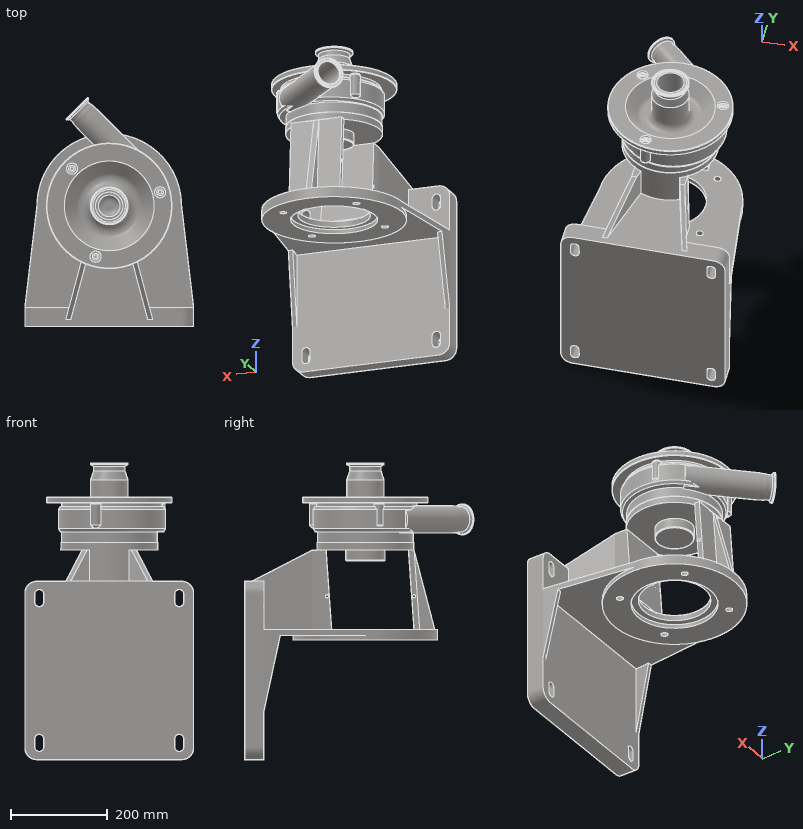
import cadquery as cq
import math


WALL_WIDTH = 350.0
WALL_HEIGHT = 370.0
WALL_THICKNESS = 40.0
WALL_BACK_Y = -250.0
WALL_FRONT_Y = WALL_BACK_Y + WALL_THICKNESS
WALL_CORNER_RADIUS = 25.0
SLOT_WIDTH = 18.0
SLOT_LENGTH = 35.0
SLOT_SPACING_X = 290.0
SLOT_SPACING_Z = 300.0

SHELF_TOP_Z = 270.0
SHELF_THICKNESS = 13.0
SHELF_BOTTOM_Z = SHELF_TOP_Z - SHELF_THICKNESS
MOTOR_FLANGE_RADIUS = 150.0
MOTOR_FLANGE_THICKNESS = 22.0
MOTOR_BORE_RADIUS = 75.0
MOTOR_SPIGOT_RADIUS = 90.0
MOTOR_BOLT_CIRCLE_RADIUS = 115.0
MOTOR_BOLT_DIAMETER = 14.0
MOTOR_BOLT_COUNT = 4
FIRST_MOTOR_BOLT_ANGLE = 45.0

LOWER_RIB_THICKNESS = 10.0
LOWER_RIB_TOP_Y = -176.0
LOWER_RIB_BOTTOM_Z = 100.0

RING_RADIUS = 100.5
RING_BOTTOM_Z = 434.5
RING_THICKNESS = 15.5
RING_TOP_Z = RING_BOTTOM_Z + RING_THICKNESS
LEG_HALF_WIDTH = 56.5
LEG_DRAFT_SHIFT = 11.5
FRONT_LEG_INNER_TOP_Y = -81.0
BACK_LEG_INNER_TOP_Y = 89.0
BACK_LEG_THICKNESS = 12.0
BACK_RIB_THICKNESS = 12.0
BACK_RIB_FOOT_Y = 144.0
GUSSET_THICKNESS = 10.0
GUSSET_ANGLE = 15.0
GUSSET_START_Y = -110.0
GUSSET_END_Y = -235.0
PIN_HOLE_DIAMETER = 6.0
PIN_HOLE_Z = 339.0
PIN_HOLE_INSET = 5.0

SHAFT_BOSS_RADIUS = 41.0
SHAFT_BOSS_BOTTOM_Z = 412.0
SHAFT_BOSS_CHAMFER = 1.5
BACKPLATE_RADIUS = 99.5
VOLUTE_RADIUS = 111.2
VOLUTE_SHIFT_X = 5.7
VOLUTE_SHIFT_Y = 3.0
VOLUTE_BOTTOM_Z = 472.3
VOLUTE_TOP_Z = 525.0
VOLUTE_EDGE_HEIGHT = 6.5
VOLUTE_EDGE_WIDTH = 4.0
LID_NECK_RADIUS = 104.5

LID_RADIUS = 130.0
LID_TOP_Z = 544.0
LID_THICKNESS = 12.0
LID_BOTTOM_Z = LID_TOP_Z - LID_THICKNESS
LID_CHAMFER = 1.0
RECESS_RIM_RADIUS = 93.0
RECESS_RIM_CHAMFER = 3.0
RECESS_FLOOR_Z = 516.5
RECESS_CONE_BOTTOM_RADIUS = 68.0
RECESS_CORNER_FILLET = 15.0
RECESS_CONE_SLOPE = math.radians(42.5)
SCREW_COUNT = 3
SCREW_CIRCLE_RADIUS = 109.0
FIRST_SCREW_ANGLE = 15.0
LUG_RADIUS = 10.7
LUG_NECK_RADIUS = 9.5
LUG_TOP_Z = 529.5
LUG_BOTTOM_Z = 480.0
LUG_CHAMFER = 6.0
SCREW_HEAD_RADIUS = 7.0
SCREW_RECESS_RADIUS = 11.5
SCREW_RECESS_DEPTH = 6.0
SOCKET_DIAMETER = 8.0
SOCKET_DEPTH = 4.0

INLET_TOP_Z = 614.5
INLET_RADIUS = 39.0
INLET_ROOT_FILLET = 17.0
INLET_CONE_BOTTOM_Z = 580.0
INLET_CONE_TOP_Z = 597.8
INLET_NECK_RADIUS = 32.8
INLET_FERRULE_RADIUS = 39.0
INLET_BORE_RADIUS = 28.5
INLET_BORE_BOTTOM_Z = 510.0
IMPELLER_EYE_RADIUS = 22.5
IMPELLER_EYE_FILLET = 12.5
IMPELLER_EYE_BOTTOM_Z = 485.0
INLET_GROOVE_RADIUS = 35.3

OUTLET_Z = 498.0
OUTLET_OFFSET = 95.3
OUTLET_LENGTH = 190.6
OUTLET_PIPE_RADIUS = 28.6
OUTLET_PIPE_END = 155.5
OUTLET_COLLAR_START = 166.5
OUTLET_COLLAR_MIDDLE = 171.5
OUTLET_COLLAR_END = 177.0
OUTLET_COLLAR_RADIUS = 27.8
OUTLET_NECK_RADIUS = 26.5
OUTLET_FERRULE_RADIUS = 32.0
OUTLET_BORE_RADIUS = 24.5
OUTLET_BORE_START = 40.0
OUTLET_GROOVE_RADIUS = 28.2

FERRULE_EDGE = 3.0
FERRULE_TAPER = 3.5
GASKET_GROOVE_WIDTH = 3.2
GASKET_GROOVE_DEPTH = 1.5


def cylinder(radius, bottom, top, x=0.0):
    return cq.Workplane("XY", origin=(x, 0, bottom)).circle(radius).extrude(top - bottom)


def side_prism(points, x_min, x_max):
    """Extrude a (Y, Z) outline along X."""
    return cq.Workplane("YZ", origin=(x_min, 0, 0)).polyline(points).close().extrude(x_max - x_min)


def wall_plate():
    plate = (
        cq.Workplane("XY")
        .box(WALL_WIDTH, WALL_THICKNESS, WALL_HEIGHT, centered=(True, False, False))
        .edges("|Y")
        .fillet(WALL_CORNER_RADIUS)
    )
    slots = (
        cq.Workplane("XZ", origin=(0, WALL_THICKNESS, WALL_HEIGHT / 2))
        .rarray(SLOT_SPACING_X, SLOT_SPACING_Z, 2, 2)
        .slot2D(SLOT_LENGTH, SLOT_WIDTH, 90)
        .extrude(WALL_THICKNESS)
    )
    return plate.cut(slots).translate((0, WALL_BACK_Y, 0))


def shelf_outline(inset=0.0):
    """Taper between the motor flange and the wall plate, as (X, Y) points."""
    wide = WALL_WIDTH / 2 - inset
    narrow = MOTOR_FLANGE_RADIUS - inset
    return [(narrow, 0), (-narrow, 0), (-wide, WALL_FRONT_Y), (wide, WALL_FRONT_Y)]


def shelf():
    taper = (
        cq.Workplane("XY", origin=(0, 0, SHELF_BOTTOM_Z))
        .polyline(shelf_outline())
        .close()
        .extrude(SHELF_THICKNESS)
    )
    flange = cylinder(MOTOR_FLANGE_RADIUS, SHELF_TOP_Z - MOTOR_FLANGE_THICKNESS, SHELF_TOP_Z)
    return taper.union(flange)


def lower_ribs():
    """Triangular ribs under the shelf, flush with its tapered sides."""
    half_wall = WALL_WIDTH / 2
    triangles = side_prism(
        [
            (LOWER_RIB_TOP_Y, SHELF_BOTTOM_Z),
            (WALL_FRONT_Y, SHELF_BOTTOM_Z),
            (WALL_FRONT_Y, LOWER_RIB_BOTTOM_Z),
        ],
        -half_wall,
        half_wall,
    )
    outer = cq.Workplane("XY").polyline(shelf_outline()).close().extrude(SHELF_BOTTOM_Z)
    inner = cq.Workplane("XY").polyline(shelf_outline(LOWER_RIB_THICKNESS)).close().extrude(SHELF_BOTTOM_Z)
    return triangles.intersect(outer.cut(inner))


def motor_openings():
    bottom = SHELF_TOP_Z - MOTOR_FLANGE_THICKNESS
    bore = cylinder(MOTOR_BORE_RADIUS, bottom, SHELF_TOP_Z)
    spigot = cylinder(MOTOR_SPIGOT_RADIUS, bottom, SHELF_BOTTOM_Z)
    bolts = (
        cq.Workplane("XY", origin=(0, 0, bottom))
        .polarArray(MOTOR_BOLT_CIRCLE_RADIUS, FIRST_MOTOR_BOLT_ANGLE, 360, MOTOR_BOLT_COUNT)
        .circle(MOTOR_BOLT_DIAMETER / 2)
        .extrude(MOTOR_FLANGE_THICKNESS)
    )
    return bore.union(spigot).union(bolts)


def front_leg():
    """Leg on the wall side: flat sloping inner face, round outer face."""
    slab = side_prism(
        [
            (FRONT_LEG_INNER_TOP_Y, RING_BOTTOM_Z),
            (FRONT_LEG_INNER_TOP_Y + LEG_DRAFT_SHIFT, SHELF_TOP_Z),
            (-RING_RADIUS, SHELF_TOP_Z),
            (-RING_RADIUS, RING_BOTTOM_Z),
        ],
        -LEG_HALF_WIDTH,
        LEG_HALF_WIDTH,
    )
    return slab.intersect(cylinder(RING_RADIUS, SHELF_TOP_Z, RING_BOTTOM_Z))


def gusset_x(y):
    """X of the outer face of the right gusset at a given Y."""
    return LEG_HALF_WIDTH + (GUSSET_START_Y - y) * math.tan(math.radians(GUSSET_ANGLE))


def gussets():
    """Pair of splayed gussets from the front leg to the top of the wall plate."""
    thickness_in_x = GUSSET_THICKNESS / math.cos(math.radians(GUSSET_ANGLE))
    inner_y = FRONT_LEG_INNER_TOP_Y
    plan = [
        (LEG_HALF_WIDTH, inner_y),
        (LEG_HALF_WIDTH, GUSSET_START_Y),
        (gusset_x(GUSSET_END_Y), GUSSET_END_Y),
        (gusset_x(GUSSET_END_Y) - thickness_in_x, GUSSET_END_Y),
        (gusset_x(inner_y) - thickness_in_x, inner_y),
    ]
    height = RING_BOTTOM_Z - SHELF_TOP_Z
    right = cq.Workplane("XY", origin=(0, 0, SHELF_TOP_Z)).polyline(plan).close().extrude(height)
    profile = side_prism(
        [
            (inner_y, SHELF_TOP_Z),
            (inner_y, RING_BOTTOM_Z),
            (GUSSET_START_Y, RING_BOTTOM_Z),
            (GUSSET_END_Y, WALL_HEIGHT),
            (GUSSET_END_Y, SHELF_TOP_Z),
        ],
        0,
        WALL_WIDTH / 2,
    )
    right = right.intersect(profile)
    return right.union(right.mirror("YZ"))


def gusset_core():
    """Filling between the gussets, level with the top of the wall plate."""
    plan = [
        (gusset_x(GUSSET_START_Y), GUSSET_START_Y),
        (gusset_x(WALL_FRONT_Y), WALL_FRONT_Y),
        (-gusset_x(WALL_FRONT_Y), WALL_FRONT_Y),
        (-gusset_x(GUSSET_START_Y), GUSSET_START_Y),
        (-LEG_HALF_WIDTH, FRONT_LEG_INNER_TOP_Y),
        (LEG_HALF_WIDTH, FRONT_LEG_INNER_TOP_Y),
    ]
    height = WALL_HEIGHT - SHELF_TOP_Z
    return cq.Workplane("XY", origin=(0, 0, SHELF_TOP_Z)).polyline(plan).close().extrude(height)


def back_leg():
    """Sloping plate on the far side with a central triangular rib behind it."""
    inner_bottom_y = BACK_LEG_INNER_TOP_Y + LEG_DRAFT_SHIFT
    outer_top_y = BACK_LEG_INNER_TOP_Y + BACK_LEG_THICKNESS
    plate = side_prism(
        [
            (BACK_LEG_INNER_TOP_Y, RING_BOTTOM_Z),
            (outer_top_y, RING_BOTTOM_Z),
            (inner_bottom_y + BACK_LEG_THICKNESS, SHELF_TOP_Z),
            (inner_bottom_y, SHELF_TOP_Z),
        ],
        -LEG_HALF_WIDTH,
        LEG_HALF_WIDTH,
    )
    rib = side_prism(
        [(outer_top_y, RING_BOTTOM_Z), (BACK_RIB_FOOT_Y, SHELF_TOP_Z), (inner_bottom_y, SHELF_TOP_Z)],
        -BACK_RIB_THICKNESS / 2,
        BACK_RIB_THICKNESS / 2,
    )
    return plate.union(rib)


def pin_holes():
    """Cross holes along X through both legs, just behind their inner faces."""
    drop = (RING_BOTTOM_Z - PIN_HOLE_Z) / (RING_BOTTOM_Z - SHELF_TOP_Z)
    shift = drop * LEG_DRAFT_SHIFT
    front_y = FRONT_LEG_INNER_TOP_Y + shift - PIN_HOLE_INSET
    back_y = BACK_LEG_INNER_TOP_Y + shift + PIN_HOLE_INSET
    return (
        cq.Workplane("YZ", origin=(-LEG_HALF_WIDTH, 0, 0))
        .pushPoints([(front_y, PIN_HOLE_Z), (back_y, PIN_HOLE_Z)])
        .circle(PIN_HOLE_DIAMETER / 2)
        .extrude(2 * LEG_HALF_WIDTH)
    )


def bracket():
    ring = cylinder(RING_RADIUS, RING_BOTTOM_Z, RING_TOP_Z)
    body = wall_plate().union(shelf()).union(lower_ribs()).union(front_leg())
    body = body.union(gussets()).union(gusset_core()).union(back_leg()).union(ring)
    return body.cut(motor_openings()).cut(pin_holes())


def volute():
    edge_radius = VOLUTE_RADIUS - VOLUTE_EDGE_WIDTH
    profile = [
        (0, VOLUTE_BOTTOM_Z),
        (edge_radius, VOLUTE_BOTTOM_Z),
        (VOLUTE_RADIUS, VOLUTE_BOTTOM_Z + VOLUTE_EDGE_HEIGHT),
        (VOLUTE_RADIUS, VOLUTE_TOP_Z - VOLUTE_EDGE_HEIGHT),
        (edge_radius, VOLUTE_TOP_Z),
        (LID_NECK_RADIUS, VOLUTE_TOP_Z),
        (LID_NECK_RADIUS, LID_BOTTOM_Z),
        (0, LID_BOTTOM_Z),
    ]
    body = cq.Workplane("XZ").polyline(profile).close().revolve(360, (0, 0), (0, 1))
    return body.translate((VOLUTE_SHIFT_X, VOLUTE_SHIFT_Y, 0))


def casing():
    boss = cylinder(SHAFT_BOSS_RADIUS, SHAFT_BOSS_BOTTOM_Z, RING_BOTTOM_Z)
    boss = boss.faces("<Z").chamfer(SHAFT_BOSS_CHAMFER)
    backplate = cylinder(BACKPLATE_RADIUS, RING_TOP_Z, VOLUTE_BOTTOM_Z)
    lid = cylinder(LID_RADIUS, LID_BOTTOM_Z, LID_TOP_Z).edges().chamfer(LID_CHAMFER)
    return boss.union(backplate).union(volute()).union(lid)


def screw_angles():
    return [FIRST_SCREW_ANGLE + i * 360 / SCREW_COUNT for i in range(SCREW_COUNT)]


def screw_lug():
    """Casing lug under a lid screw, with a slightly narrower neck just below the lid."""
    lug = cylinder(LUG_RADIUS, LUG_BOTTOM_Z, LUG_TOP_Z, SCREW_CIRCLE_RADIUS)
    lug = lug.faces("<Z").chamfer(LUG_CHAMFER)
    return lug.union(cylinder(LUG_NECK_RADIUS, LUG_TOP_Z, LID_BOTTOM_Z, SCREW_CIRCLE_RADIUS))


def screw_recess():
    """Clearance round a flush socket-head screw, and the hexagon socket in its head."""
    clearance = (
        cq.Workplane("XY", origin=(SCREW_CIRCLE_RADIUS, 0, LID_TOP_Z))
        .circle(SCREW_RECESS_RADIUS)
        .circle(SCREW_HEAD_RADIUS)
        .extrude(-SCREW_RECESS_DEPTH)
    )
    socket = (
        cq.Workplane("XY", origin=(SCREW_CIRCLE_RADIUS, 0, LID_TOP_Z))
        .polygon(6, SOCKET_DIAMETER)
        .extrude(-SOCKET_DEPTH)
    )
    return clearance.union(socket)


def lid_recess():
    """Conical dish round the inlet, with fillets from the cone to the floor and up to the inlet pipe."""
    cone_top_radius = RECESS_RIM_RADIUS - RECESS_RIM_CHAMFER
    cone_bottom_z = RECESS_FLOOR_Z + RECESS_CORNER_FILLET * (1 - math.cos(RECESS_CONE_SLOPE))
    floor_radius = RECESS_CONE_BOTTOM_RADIUS - RECESS_CORNER_FILLET * math.sin(RECESS_CONE_SLOPE)
    return (
        cq.Workplane("XZ")
        .moveTo(INLET_RADIUS, LID_TOP_Z)
        .lineTo(RECESS_RIM_RADIUS, LID_TOP_Z)
        .lineTo(cone_top_radius, LID_TOP_Z - RECESS_RIM_CHAMFER)
        .lineTo(RECESS_CONE_BOTTOM_RADIUS, cone_bottom_z)
        .radiusArc((floor_radius, RECESS_FLOOR_Z), RECESS_CORNER_FILLET)
        .lineTo(INLET_RADIUS + INLET_ROOT_FILLET, RECESS_FLOOR_Z)
        .radiusArc((INLET_RADIUS, RECESS_FLOOR_Z + INLET_ROOT_FILLET), INLET_ROOT_FILLET)
        .close()
        .revolve(360, (0, 0), (0, 1))
    )


def inlet():
    profile = [
        (0, RECESS_FLOOR_Z),
        (INLET_RADIUS, RECESS_FLOOR_Z),
        (INLET_RADIUS, INLET_CONE_BOTTOM_Z),
        (INLET_NECK_RADIUS, INLET_CONE_TOP_Z),
        (INLET_NECK_RADIUS, INLET_TOP_Z - FERRULE_EDGE - FERRULE_TAPER),
        (INLET_FERRULE_RADIUS, INLET_TOP_Z - FERRULE_EDGE),
        (INLET_FERRULE_RADIUS, INLET_TOP_Z),
        (0, INLET_TOP_Z),
    ]
    return cq.Workplane("XZ").polyline(profile).close().revolve(360, (0, 0), (0, 1))


def gasket_groove(workplane, radius):
    half_width = GASKET_GROOVE_WIDTH / 2
    return workplane.circle(radius + half_width).circle(radius - half_width).extrude(-GASKET_GROOVE_DEPTH)


def inlet_openings():
    bore = cylinder(INLET_BORE_RADIUS, INLET_BORE_BOTTOM_Z, INLET_TOP_Z)
    eye = cylinder(IMPELLER_EYE_RADIUS, IMPELLER_EYE_BOTTOM_Z, INLET_BORE_BOTTOM_Z)
    eye = eye.faces("<Z").edges().fillet(IMPELLER_EYE_FILLET)
    groove = gasket_groove(cq.Workplane("XY", origin=(0, 0, INLET_TOP_Z)), INLET_GROOVE_RADIUS)
    return bore.union(eye).union(groove)


def outlet_plane(distance):
    """Workplane square to the outlet axis, at a distance along it."""
    diagonal = math.sqrt(0.5)
    origin = ((OUTLET_OFFSET - distance) * diagonal, (OUTLET_OFFSET + distance) * diagonal, OUTLET_Z)
    plane = cq.Plane(origin=origin, xDir=(diagonal, diagonal, 0), normal=(-diagonal, diagonal, 0))
    return cq.Workplane(plane)


def outlet():
    profile = [
        (0, 0),
        (OUTLET_PIPE_RADIUS, 0),
        (OUTLET_PIPE_RADIUS, OUTLET_PIPE_END),
        (OUTLET_COLLAR_RADIUS, OUTLET_COLLAR_START),
        (OUTLET_COLLAR_RADIUS, OUTLET_COLLAR_MIDDLE),
        (OUTLET_NECK_RADIUS, OUTLET_COLLAR_END),
        (OUTLET_NECK_RADIUS, OUTLET_LENGTH - FERRULE_EDGE - FERRULE_TAPER),
        (OUTLET_FERRULE_RADIUS, OUTLET_LENGTH - FERRULE_EDGE),
        (OUTLET_FERRULE_RADIUS, OUTLET_LENGTH),
        (0, OUTLET_LENGTH),
    ]
    start = outlet_plane(0).plane
    lengthwise = cq.Plane(origin=start.origin, xDir=start.xDir, normal=(0, 0, 1))
    return cq.Workplane(lengthwise).polyline(profile).close().revolve(360, (0, 0), (0, 1))


def outlet_openings():
    bore_length = OUTLET_LENGTH - OUTLET_BORE_START
    bore = outlet_plane(OUTLET_BORE_START).circle(OUTLET_BORE_RADIUS).extrude(bore_length)
    return bore.union(gasket_groove(outlet_plane(OUTLET_LENGTH), OUTLET_GROOVE_RADIUS))


def pump():
    body = casing()
    for angle in screw_angles():
        body = body.union(screw_lug().rotate((0, 0, 0), (0, 0, 1), angle))
    body = body.cut(lid_recess()).union(inlet()).union(outlet())
    for angle in screw_angles():
        body = body.cut(screw_recess().rotate((0, 0, 0), (0, 0, 1), angle))
    return body.cut(inlet_openings()).cut(outlet_openings())


result = bracket().union(pump())